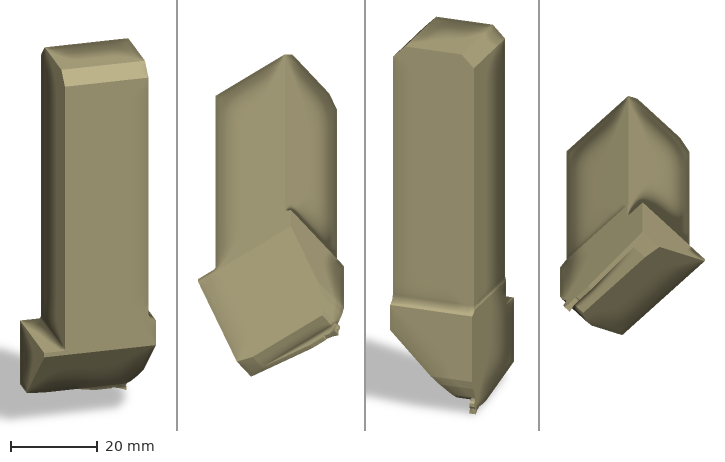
import cadquery as cq
import math


total_height = 88.5
shank_side = 20.0
end_chamfer = 3.0

head_offset = 0.3
head_front = -5.0
head_back = 21.8
front_ledge_z = 19.65
ledge_fillet = 0.5
relief_top_z = 26.7
relief_radius = 1.8
shoulder_slope = 25.0
back_edge_z = 8.6
back_edge_bend = (21.2, 6.6)
back_edge_end = (19.9, 3.9)
bevel_top_z = 18.6
head_bottom_z = 3.1

blade_bottom_z = 0.7
front_bottom_z = 3.8
blade_bottom_y = 12.65
blade_thickness = 1.1
insert_seat_y = 16.6

tip_flare_left = 0.3
tip_flare_right = 0.35
tip_y = 20.1
nose_z = 1.3
rake_z = 1.95
facet_back = (20.6, 2.7)
facet_bottom = (18.4, 0.5)

head_left = -head_offset
head_width = shank_side + head_offset
blade_right = head_left + blade_thickness


def yz_prism(outline, x_start, length):
    return cq.Workplane("YZ", origin=(x_start, 0, 0)).polyline(outline).close().extrude(length)


def make_shank():
    shank = cq.Workplane("XY").box(
        shank_side, shank_side, total_height - front_ledge_z, centered=False
    ).translate((0, 0, front_ledge_z))
    return shank.faces(">Z").edges("|Y").chamfer(end_chamfer)


def make_head():
    slope = math.radians(shoulder_slope)
    center_y = shank_side + relief_radius

    def arc_point(angle):
        return (center_y - relief_radius * math.cos(angle), relief_top_z - relief_radius * math.sin(angle))

    arc_sweep = math.pi / 2 - slope
    arc_end = arc_point(arc_sweep)
    shoulder_z = arc_end[1] - (head_back - arc_end[0]) * math.tan(slope)
    head = (
        cq.Workplane("YZ", origin=(head_left, 0, 0))
        .moveTo(head_front, front_bottom_z)
        .lineTo(head_front, front_ledge_z)
        .lineTo(-ledge_fillet, front_ledge_z)
        .radiusArc((0, front_ledge_z + ledge_fillet), -ledge_fillet)
        .lineTo(0, relief_top_z)
        .lineTo(shank_side, relief_top_z)
        .threePointArc(arc_point(arc_sweep / 2), arc_end)
        .lineTo(head_back, shoulder_z)
        .lineTo(head_back, back_edge_z)
        .lineTo(*back_edge_bend)
        .lineTo(*back_edge_end)
        .lineTo(insert_seat_y, blade_bottom_z)
        .lineTo(blade_bottom_y, blade_bottom_z)
        .close()
        .extrude(head_width)
    )
    return head.intersect(make_head_envelope())


def make_head_envelope():
    relief_drop = math.sqrt(relief_radius**2 - (relief_radius - head_offset) ** 2)
    half_sweep = math.asin(relief_drop / relief_radius) / 2
    relief_middle = (
        relief_radius * (math.cos(half_sweep) - 1),
        relief_top_z - relief_radius * math.sin(half_sweep),
    )
    flank_bottom_x = shank_side - (bevel_top_z - head_bottom_z)
    return (
        cq.Workplane("XZ", origin=(0, head_back, 0))
        .moveTo(0, relief_top_z)
        .threePointArc(relief_middle, (head_left, relief_top_z - relief_drop))
        .lineTo(head_left, 0)
        .lineTo(blade_right, 0)
        .lineTo(blade_right, head_bottom_z)
        .lineTo(flank_bottom_x, head_bottom_z)
        .lineTo(shank_side, bevel_top_z)
        .lineTo(shank_side, relief_top_z)
        .close()
        .extrude(head_back - head_front)
    )


def make_insert_body():
    outline = [
        (19.0, 8.05), (16.3, 8.05), (16.0, 7.2), (16.0, 4.6), (16.3, 1.3), (insert_seat_y, 1.0),
        facet_bottom, facet_back, (20.0, 3.1), (19.7, 4.0), (19.7, 6.1),
    ]
    return yz_prism(outline, head_left, blade_thickness)


def make_tip():
    outline = [facet_back, facet_bottom, (tip_y, 0), (tip_y, nose_z), (facet_back[0], rake_z)]
    full_width = blade_thickness + tip_flare_left + tip_flare_right
    blank = yz_prism(outline, head_left - tip_flare_left, full_width)
    flare_length = (tip_y - facet_bottom[0] + facet_bottom[1]) / math.sqrt(2)
    facet_length = math.dist(facet_back, facet_bottom)
    facet_plane = cq.Plane(
        origin=(head_left, *facet_bottom), xDir=(1, 0, 0), normal=(0, 1, 1)
    )
    flare = (
        cq.Workplane(facet_plane)
        .polyline([
            (0, 0),
            (blade_thickness, 0),
            (blade_thickness + tip_flare_right, flare_length),
            (-tip_flare_left, flare_length),
        ])
        .close()
        .extrude(facet_length, both=True)
    )
    return blank.intersect(flare)


insert = make_insert_body().union(make_tip())
holder = make_shank().union(make_head()).cut(insert)

result = cq.Compound.makeCompound([holder.solids().val(), insert.solids().val()])